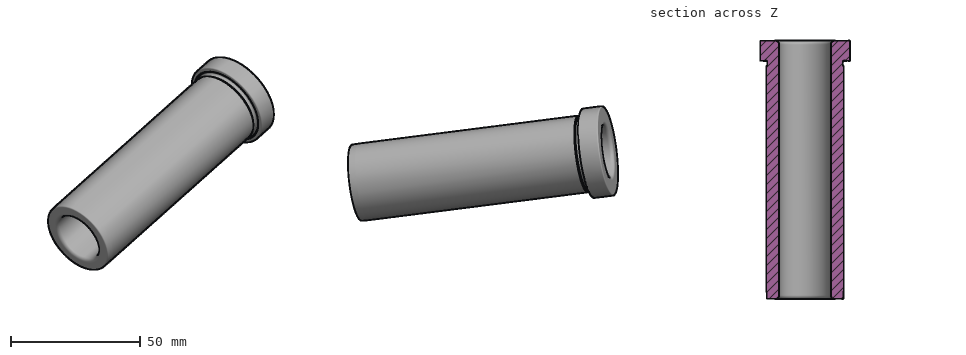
import cadquery as cq

total_length = 100.0
head_diameter = 35.0
head_length = 8.0
head_edge_radius = 0.5

body_diameter = 30.0
bore_diameter = 20.0
bore_mouth_radius = 1.5

groove_depth = 0.3
groove_width = 2.0
groove_slope_length = 0.5

undercut_depth = 0.2
undercut_diameter = 31.8
undercut_slope_width = 0.4
groove_corner_radius = 0.6

lead_length = 3.0
lead_taper = 0.1
lead_edge_radius = 0.5

head_radius = head_diameter / 2
body_radius = body_diameter / 2
bore_radius = bore_diameter / 2
groove_radius = body_radius - groove_depth
undercut_radius = undercut_diameter / 2
lead_radius = body_radius - lead_taper
head_face_y = head_length
free_end_y = head_length - total_length
tolerance = 0.001


def make_bush():
    """Revolve the half section of the bush about the Y axis."""
    profile = (
        cq.Workplane("XY")
        .moveTo(bore_radius, free_end_y)
        .lineTo(lead_radius, free_end_y)
        .lineTo(body_radius, free_end_y + lead_length)
        .lineTo(body_radius, -groove_width)
        .lineTo(groove_radius, -groove_width + groove_slope_length)
        .lineTo(groove_radius, undercut_depth - groove_corner_radius)
        .radiusArc((groove_radius + groove_corner_radius, undercut_depth), groove_corner_radius)
        .lineTo(undercut_radius - undercut_slope_width, undercut_depth)
        .lineTo(undercut_radius, 0)
        .lineTo(head_radius, 0)
        .lineTo(head_radius, head_face_y)
        .lineTo(bore_radius, head_face_y)
        .close()
    )
    return profile.revolve(360, (0, 0, 0), (0, 1, 0))


def round_edge(part, radius, y, fillet_radius):
    """Round the circular edge that passes through (radius, y)."""
    circles = part.edges("%CIRCLE")
    matching = circles.filter(
        lambda edge: abs(edge.radius() - radius) < tolerance and abs(edge.Center().y - y) < tolerance
    )
    return matching.fillet(fillet_radius)


bush = make_bush()
bush = round_edge(bush, head_radius, 0, head_edge_radius)
bush = round_edge(bush, head_radius, head_face_y, head_edge_radius)
bush = round_edge(bush, lead_radius, free_end_y, lead_edge_radius)
bush = round_edge(bush, bore_radius, free_end_y, bore_mouth_radius)
bush = round_edge(bush, bore_radius, head_face_y, bore_mouth_radius)

result = bush